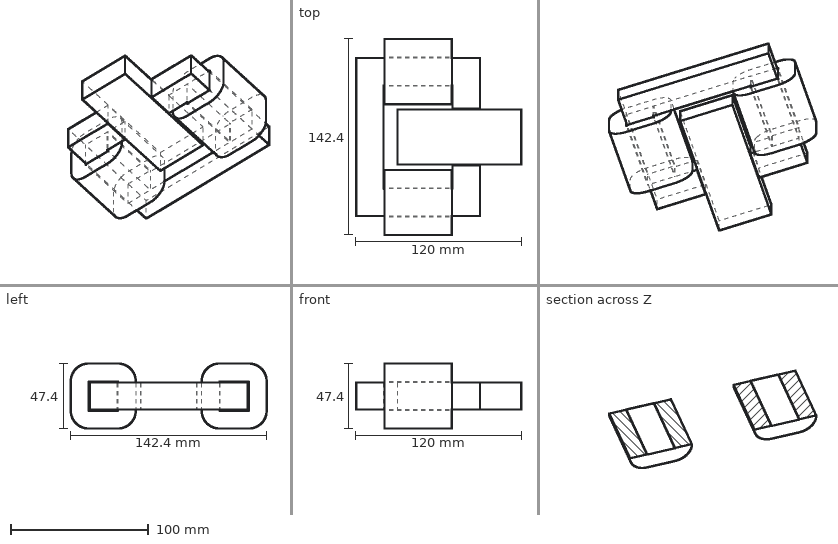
import cadquery as cq

overall_width = 142.4
stack_height = 19.7

core_length = 90.0
core_width = 114.9
limb_width = 20.1

armature_length = core_length
armature_width = 40.0
armature_start = core_length / 3
air_gap = 0.4

coil_opening = 21.1
coil_size = 47.4
coil_end_clearance = 0.4

window_length = core_length - 2 * limb_width
window_width = core_width - 2 * limb_width
mouth_width = armature_width + 2 * air_gap
coil_wall = (coil_size - coil_opening) / 2
coil_length = window_length - 2 * coil_end_clearance
coil_offset = (overall_width - coil_size) / 2


def box_along_x(start, length, width, height):
    """Box centred on Y and Z that begins at X = start."""
    return cq.Workplane("XY").box(length, width, height).translate((start + length / 2, 0, 0))


def make_core():
    """Rectangular frame with a mouth cut through its far limb."""
    frame = box_along_x(0, core_length, core_width, stack_height)
    window = box_along_x(limb_width, window_length, window_width, stack_height)
    mouth = box_along_x(core_length - limb_width, limb_width, mouth_width, stack_height)
    return frame.cut(window).cut(mouth)


def make_armature():
    """Plain bar that passes through the mouth of the core."""
    return box_along_x(armature_start, armature_length, armature_width, stack_height)


def make_coil(y_center):
    """Square tube with a sharp-cornered opening and corners rounded by the wall thickness."""
    start = limb_width + coil_end_clearance
    winding = box_along_x(start, coil_length, coil_size, coil_size).edges("|X").fillet(coil_wall)
    opening = box_along_x(start, coil_length, coil_opening, coil_opening)
    return winding.cut(opening).translate((0, y_center, 0))


core = make_core()
armature = make_armature()
coils = [make_coil(side * coil_offset) for side in (-1, 1)]

result = cq.Compound.makeCompound([core.val(), armature.val(), *[coil.val() for coil in coils]])